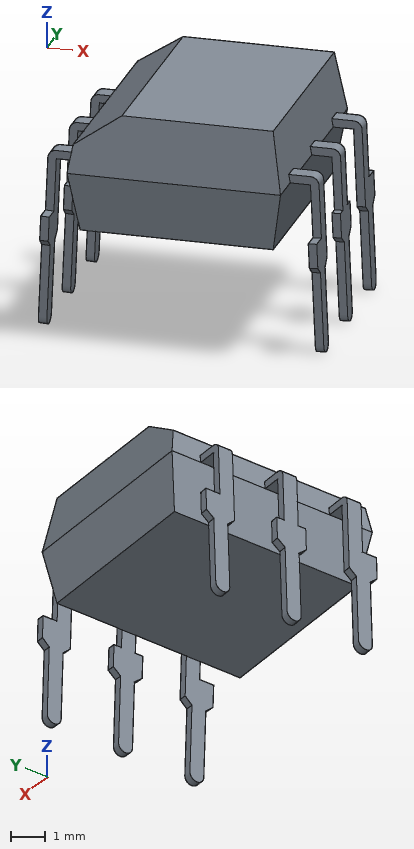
import cadquery as cq
import math


housing_width = 6.39
housing_length = 7.12
housing_half_height = 1.83
draft_angle = 9.5
chamfer_top_x = -1.64
chamfer_low_z = 0.86

total_width = 8.57
total_height = 6.95
lead_pitch = 2.54
lead_thickness = 0.26
pin_width = 0.5
splay_angle = 2.5
center_blade_width = 1.03
outer_blade_width = 2 * pin_width
blade_top = 1.63
blade_bottom = 2.38
pin_top = 2.605

splay = math.radians(splay_angle)
draft_slope = math.tan(math.radians(draft_angle))
leg_length = (total_height - housing_half_height) / math.cos(splay)
bend_x = total_width / 2 - leg_length * math.sin(splay) - lead_thickness * math.cos(splay)


def side_x(z):
    """Distance of the drafted X side faces from the middle, at height z."""
    return housing_width / 2 - abs(z) * draft_slope


def make_housing():
    upper = (
        cq.Workplane("XY")
        .rect(housing_width, housing_length)
        .extrude(housing_half_height, taper=draft_angle)
    )
    lower = upper.mirror("XY")
    chamfer_low_x = -side_x(chamfer_low_z)
    chamfer_slope = (housing_half_height - chamfer_low_z) / (chamfer_top_x - chamfer_low_x)
    wedge_low_x = -housing_width / 2
    wedge_low_z = chamfer_low_z + chamfer_slope * (wedge_low_x - chamfer_low_x)
    wedge = (
        cq.Workplane("XZ")
        .moveTo(wedge_low_x, wedge_low_z)
        .lineTo(chamfer_top_x, housing_half_height)
        .lineTo(wedge_low_x, housing_half_height)
        .close()
        .extrude(housing_length / 2, both=True)
    )
    return upper.union(lower).cut(wedge)


def make_arm(neck_y):
    """Flat arm from the housing's +X face, ending in the round outside of the bend."""
    mid_angle = (math.pi / 2 + splay) / 2
    arm = (
        cq.Workplane("XZ", origin=(0, neck_y, 0))
        .moveTo(side_x(0), 0)
        .lineTo(bend_x, 0)
        .lineTo(bend_x + lead_thickness * math.cos(splay), lead_thickness * math.sin(splay))
        .threePointArc(
            (bend_x + lead_thickness * math.cos(mid_angle),
             lead_thickness * math.sin(mid_angle)),
            (bend_x, lead_thickness),
        )
        .lineTo(side_x(lead_thickness), lead_thickness)
        .close()
    )
    return arm.extrude(pin_width / 2, both=True)


def make_leg(pin_y, neck_y, blade_width):
    """Flat leg with a wide blade, narrowing to a round-ended pin."""
    leg_plane = cq.Plane(
        origin=(bend_x, 0, 0),
        xDir=(0, 1, 0),
        normal=(math.cos(splay), 0, math.sin(splay)),
    )
    pin_radius = pin_width / 2
    blade_half = blade_width / 2
    pin_end = leg_length - pin_radius
    blade_and_pin = (
        cq.Workplane(leg_plane)
        .moveTo(pin_y - blade_half, -blade_top)
        .lineTo(pin_y - blade_half, -blade_bottom)
        .lineTo(pin_y - pin_radius, -pin_top)
        .lineTo(pin_y - pin_radius, -pin_end)
        .threePointArc((pin_y, -leg_length), (pin_y + pin_radius, -pin_end))
        .lineTo(pin_y + pin_radius, -pin_top)
        .lineTo(pin_y + blade_half, -blade_bottom)
        .lineTo(pin_y + blade_half, -blade_top)
        .close()
        .extrude(lead_thickness)
    )
    neck = (
        cq.Workplane(leg_plane)
        .center(neck_y, -blade_top / 2)
        .rect(pin_width, blade_top)
        .extrude(lead_thickness)
    )
    return blade_and_pin.union(neck)


def make_lead(row):
    """Lead on the +X side; row is -1, 0 or 1 along Y."""
    pin_y = row * lead_pitch
    neck_y = pin_y - row * (outer_blade_width - pin_width) / 2
    blade_width = outer_blade_width if row else center_blade_width
    return make_arm(neck_y).union(make_leg(pin_y, neck_y, blade_width))


housing = make_housing()

leads = []
for row in (-1, 0, 1):
    lead = make_lead(row)
    leads.append(lead.solids().val())
    leads.append(lead.mirror("YZ").solids().val())

result = cq.Compound.makeCompound([housing.solids().val(), *leads])